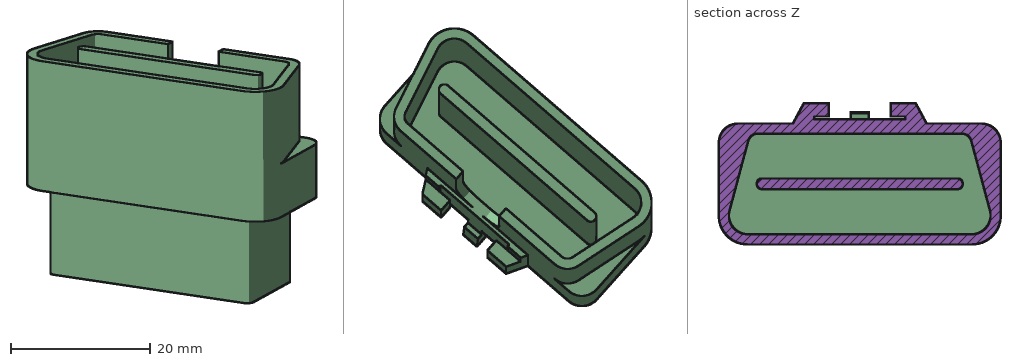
import cadquery as cq
import math

width = 40.55
height = 32.5
shell_depth = 17.4
shell_bottom = 13.0
ledge_top = 21.05
front_radius = 4.18
back_radius = 2.85
taper_angle = math.radians(15)
wall = 1.5
cavity_floor = shell_bottom + wall

blade_length = 29.6
blade_thickness = 1.6
blade_y = 8.7

notch_width = 8.2
notch_radius = 3.1

body_width = 32.72
body_front = 2.1
body_back = 15.33
body_radius = 1.0

clip_top = 21.5
clip_arm_top = 18.57
clip_half_width = 9.6
clip_tip_half_width = 8.03
clip_back = 20.3
clip_plate_back = 18.35
clip_groove_floor = 18.0
clip_groove_half_width = 6.53
clip_arm_gap = 8.85

latch_width = 2.65
latch_bottom = 5.47
latch_step = 10.6
latch_neck_back = clip_groove_floor
latch_upper_back = 18.8
latch_lower_back = 19.05


def block(x_size, y_min, y_max, z_min, z_max):
    """Box centred on X between the given Y and Z limits."""
    base = cq.Workplane("XY").box(x_size, y_max - y_min, z_max - z_min, centered=(True, False, False))
    return base.translate((0, y_min, z_min))


def tapered_prism(inset, z_min, z_max):
    """Rounded trapezoid, narrower at the back, inset evenly from the shell outline."""
    front_y = inset
    back_y = shell_depth - inset
    radius = front_radius - inset
    center_x = width / 2 - front_radius
    tangent_x = center_x + radius * math.cos(taper_angle)
    tangent_y = front_radius + radius * math.sin(taper_angle)
    front_x = tangent_x + (tangent_y - front_y) * math.tan(taper_angle)
    back_x = tangent_x - (back_y - tangent_y) * math.tan(taper_angle)
    corners = [(-front_x, front_y), (front_x, front_y), (back_x, back_y), (-back_x, back_y)]
    prism = cq.Workplane("XY").workplane(offset=z_min).polyline(corners).close().extrude(z_max - z_min)
    prism = prism.edges("|Z and <Y").fillet(radius)
    return prism.edges("|Z and >Y").fillet(back_radius - inset)


def make_ledge():
    ledge = block(width, 0, shell_depth, shell_bottom, ledge_top)
    ledge = ledge.edges("|Z and <Y").fillet(front_radius)
    return ledge.edges("|Z and >Y").fillet(back_radius)


def make_blade():
    blade = cq.Workplane("XY").workplane(offset=shell_bottom).center(0, blade_y)
    return blade.slot2D(blade_length, blade_thickness).extrude(height - shell_bottom)


def make_notch():
    notch = block(notch_width, shell_depth - wall, shell_depth, clip_top, height)
    return notch.edges("|Y and <Z").fillet(notch_radius)


def make_clip():
    outline = [
        (-clip_half_width, shell_depth),
        (clip_half_width, shell_depth),
        (clip_tip_half_width, clip_back),
        (-clip_tip_half_width, clip_back),
    ]
    clip = cq.Workplane("XY").workplane(offset=shell_bottom).polyline(outline).close()
    clip = clip.extrude(clip_top - shell_bottom)
    above_arms = block(width, clip_plate_back, clip_back, clip_arm_top, clip_top)
    arm_gap = block(clip_arm_gap, clip_groove_floor, clip_back, shell_bottom, clip_top)
    groove = block(2 * clip_groove_half_width, clip_groove_floor, clip_plate_back, shell_bottom, clip_top)
    return clip.cut(above_arms).cut(arm_gap).cut(groove)


def make_latch():
    profile = [
        (body_back, latch_bottom),
        (latch_lower_back, latch_bottom),
        (latch_upper_back, latch_step),
        (latch_neck_back, latch_step),
        (latch_neck_back, shell_bottom),
        (body_back, shell_bottom),
    ]
    return cq.Workplane("YZ").polyline(profile).close().extrude(latch_width / 2, both=True)


body = block(body_width, body_front, body_back, 0, shell_bottom).edges("|Z").fillet(body_radius)
shell = tapered_prism(0, shell_bottom, height).union(make_ledge())
shell = shell.cut(tapered_prism(wall, cavity_floor, height)).cut(make_notch())
result = shell.union(make_blade()).union(body).union(make_clip()).union(make_latch())